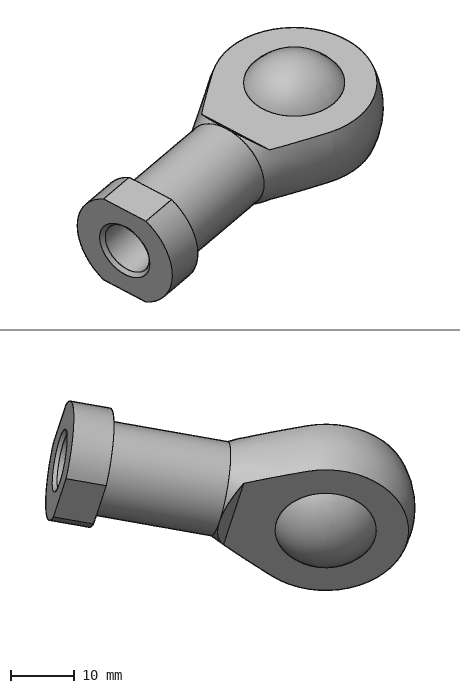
import cadquery as cq
import math

total_length = 56.95
head_radius = 14.0
head_thickness = 10.5
ball_radius = 9.5
shank_radius = 7.5
shank_length = 25.8
collar_radius = 9.5
collar_length = 6.5
collar_across_flats = 17.05
bore_radius = 4.4
bore_mouth_radius = 5.0
bore_depth = 20.5
drill_point_angle = 118.0

open_end_y = -total_length / 2
head_center_y = total_length / 2 - head_radius
neck_y = open_end_y + shank_length
collar_top_y = open_end_y + collar_length


def make_blank():
    """Revolved head, tapered neck and shank; the taper is tangent to the head sphere."""
    neck_offset = head_center_y - neck_y
    neck_distance = math.hypot(neck_offset, shank_radius)
    tangent_angle = math.atan2(shank_radius, neck_offset) + math.acos(head_radius / neck_distance)
    tangent_point = (
        head_radius * math.sin(tangent_angle),
        head_center_y - head_radius * math.cos(tangent_angle),
    )
    return (
        cq.Workplane("XY")
        .moveTo(0, open_end_y)
        .lineTo(shank_radius, open_end_y)
        .lineTo(shank_radius, neck_y)
        .lineTo(*tangent_point)
        .threePointArc((head_radius, head_center_y), (0, head_center_y + head_radius))
        .close()
        .revolve(360, (0, 0), (0, 1))
    )


def make_head_flat_cutter():
    """Material above the upper head face, ending in a 45 degree slope at the neck."""
    face_z = head_thickness / 2
    slope_run = shank_radius - face_z
    far_y = total_length
    return (
        cq.Workplane("YZ")
        .polyline([
            (neck_y, shank_radius),
            (neck_y + slope_run, face_z),
            (far_y, face_z),
            (far_y, 2 * head_radius),
            (neck_y, 2 * head_radius),
        ])
        .close()
        .extrude(2 * head_radius, both=True)
    )


def make_collar():
    """Round collar at the open end with two flats facing up and down."""
    flats = cq.Workplane("XY").box(2 * collar_radius, collar_length, collar_across_flats)
    flats = flats.translate((0, open_end_y + collar_length / 2, 0))
    disc = cq.Workplane("XZ", origin=(0, collar_top_y, 0)).circle(collar_radius).extrude(collar_length)
    return disc.intersect(flats)


def make_bore_cutter():
    """Blind bore with a 45 degree mouth chamfer and a conical drill point."""
    mouth_chamfer = bore_mouth_radius - bore_radius
    point_length = bore_radius / math.tan(math.radians(drill_point_angle / 2))
    bore_end_y = open_end_y + bore_depth
    return (
        cq.Workplane("XY")
        .polyline([
            (0, open_end_y),
            (bore_mouth_radius, open_end_y),
            (bore_radius, open_end_y + mouth_chamfer),
            (bore_radius, bore_end_y),
            (0, bore_end_y + point_length),
        ])
        .close()
        .revolve(360, (0, 0), (0, 1))
    )


def make_ball():
    """Solid ball, centred in the head and standing proud of both faces."""
    return cq.Workplane("XY").sphere(ball_radius).translate((0, head_center_y, 0))


def make_housing(ball):
    """Head, shank and collar in one piece, with a spherical socket fitting the ball."""
    upper_cutter = make_head_flat_cutter()
    lower_cutter = upper_cutter.mirror("XY")
    body = make_blank().cut(upper_cutter).cut(lower_cutter)
    return body.union(make_collar()).cut(make_bore_cutter()).cut(ball)


ball = make_ball()
housing = make_housing(ball)

result = cq.Compound.makeCompound([housing.solids().val(), ball.val()])